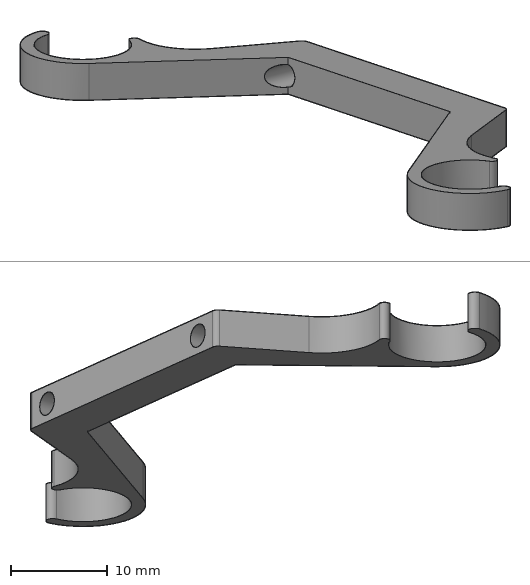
import cadquery as cq
import math

length = 72.95
depth = 24.5
thickness = 4.0

ring_outer_radius = 6.5
ring_inner_radius = 5.0

lower_lip_angle = 185.0
upper_lip_angle = 66.0
upper_lip_radius = 0.6
lower_lip_radius = (ring_outer_radius - ring_inner_radius) / 2

ring_x = -length / 2 - ring_outer_radius * math.cos(math.radians(lower_lip_angle))
ring_y = ring_outer_radius - depth

bridge_width = 5.1
bridge_top_half = 15.75
bridge_bottom_half = 12.55
leg_angle = 64.0
leg_fillet_radius = 6.5
bridge_corner_radius = 0.7

hole_diameter = 2.5
hole_half_spacing = 12.8


def polar(center, radius, degrees):
    """Point at an angle on a circle."""
    angle = math.radians(degrees)
    return (center[0] + radius * math.cos(angle), center[1] + radius * math.sin(angle))


def direction(start, end):
    """Angle in degrees of the line from start to end."""
    return math.degrees(math.atan2(end[1] - start[1], end[0] - start[0]))


def leg_fillet_center(lip_center):
    """Centre of the arc tangent to the outer leg face and to the upper lip."""
    base = polar((-bridge_top_half, 0), leg_fillet_radius, leg_angle + 90)
    reach = leg_fillet_radius + upper_lip_radius
    gap = (base[0] - lip_center[0], base[1] - lip_center[1])
    slope = polar((0, 0), 1, leg_angle + 180)
    along = gap[0] * slope[0] + gap[1] * slope[1]
    travel = -along - math.sqrt(along**2 - gap[0] ** 2 - gap[1] ** 2 + reach**2)
    return polar(base, travel, leg_angle + 180)


def half_profile():
    """Left half of the bracket, closed along the symmetry plane."""
    ring = (ring_x, ring_y)
    inner_corner = (-bridge_bottom_half, -bridge_width)

    corner_distance = math.dist(ring, inner_corner)
    tangent_angle = direction(ring, inner_corner) - math.degrees(
        math.acos(ring_outer_radius / corner_distance)
    )

    lower_lip = polar(ring, ring_inner_radius + lower_lip_radius, lower_lip_angle)
    upper_lip = polar(ring, ring_inner_radius + upper_lip_radius, upper_lip_angle)
    fillet = leg_fillet_center(upper_lip)
    lip_to_fillet = direction(upper_lip, fillet)
    fillet_start = lip_to_fillet - 180
    fillet_end = leg_angle - 90
    outer_mid_angle = (tangent_angle + lower_lip_angle - 360) / 2
    inner_mid_angle = (lower_lip_angle - 360 + upper_lip_angle) / 2
    lip_mid_angle = (lip_to_fillet + upper_lip_angle + 180) / 2

    return (
        cq.Workplane("XY")
        .moveTo(0, 0)
        .lineTo(0, -bridge_width)
        .lineTo(*inner_corner)
        .lineTo(*polar(ring, ring_outer_radius, tangent_angle))
        .threePointArc(
            polar(ring, ring_outer_radius, outer_mid_angle),
            polar(ring, ring_outer_radius, lower_lip_angle),
        )
        .threePointArc(
            polar(lower_lip, lower_lip_radius, lower_lip_angle - 90),
            polar(ring, ring_inner_radius, lower_lip_angle),
        )
        .threePointArc(
            polar(ring, ring_inner_radius, inner_mid_angle),
            polar(ring, ring_inner_radius, upper_lip_angle),
        )
        .threePointArc(
            polar(upper_lip, upper_lip_radius, lip_mid_angle),
            polar(upper_lip, upper_lip_radius, lip_to_fillet),
        )
        .threePointArc(
            polar(fillet, leg_fillet_radius, (fillet_start + fillet_end) / 2),
            polar(fillet, leg_fillet_radius, fillet_end),
        )
        .lineTo(-bridge_top_half, 0)
        .close()
    )


left_half = half_profile().extrude(thickness)
corner_edge = cq.selectors.NearestToPointSelector((-bridge_top_half, 0, thickness / 2))
left_half = left_half.edges("|Z").edges(corner_edge).fillet(bridge_corner_radius)
bracket = left_half.union(left_half.mirror("YZ"))

holes = (
    cq.Workplane("XZ")
    .pushPoints([(side * hole_half_spacing, thickness / 2) for side in (-1, 1)])
    .circle(hole_diameter / 2)
    .extrude(depth)
)

result = bracket.cut(holes)